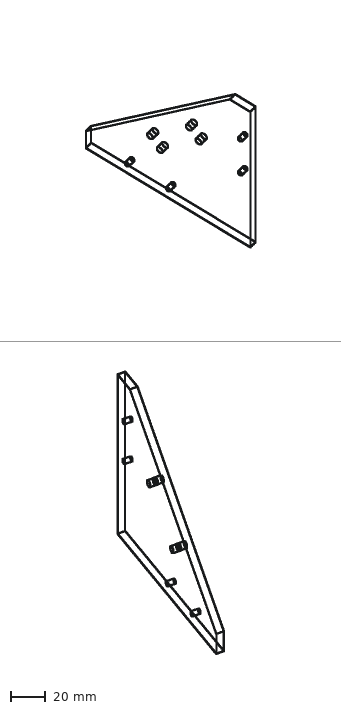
import cadquery as cq
import math

LEG = 120.0
THICKNESS = 5.0
END_WIDTH = 15.0

LEG_HOLE_DIAMETER = 3.1
LEG_HOLE_INSET = 7.5
LEG_HOLE_DISTANCES = (60.0, 90.0)

SLOPE_HOLE_DIAMETER = 4.25
SLOPE_HOLE_SPACING = 40.0
SLOPE_HOLE_DEPTHS = (12.0, 22.0)


def plate():
    """Outline in the XZ plane, extruded toward +Y."""
    outline = [
        (0, 0),
        (LEG, 0),
        (LEG, LEG),
        (LEG - END_WIDTH, LEG),
        (0, END_WIDTH),
    ]
    return cq.Workplane("XZ").polyline(outline).close().extrude(-THICKNESS)


def drill(body, centres, diameter):
    """Cut round through holes along Y at the given (X, Z) centres."""
    pins = cq.Workplane("XZ").pushPoints(centres).circle(diameter / 2).extrude(-THICKNESS)
    return body.cut(pins)


def leg_hole_centres():
    """Matching rows of holes beside the bottom and upright edges."""
    bottom = [(LEG - distance, LEG_HOLE_INSET) for distance in LEG_HOLE_DISTANCES]
    upright = [(LEG - LEG_HOLE_INSET, distance) for distance in LEG_HOLE_DISTANCES]
    return bottom + upright


def slope_hole_centres():
    """Rectangle of holes centred on the middle of the 45 degree sloping edge."""
    middle_x = (LEG - END_WIDTH) / 2
    middle_z = (LEG + END_WIDTH) / 2
    centres = []
    for depth in SLOPE_HOLE_DEPTHS:
        for along in (-SLOPE_HOLE_SPACING / 2, SLOPE_HOLE_SPACING / 2):
            x = middle_x + (along + depth) / math.sqrt(2)
            z = middle_z + (along - depth) / math.sqrt(2)
            centres.append((x, z))
    return centres


result = plate()
result = drill(result, leg_hole_centres(), LEG_HOLE_DIAMETER)
result = drill(result, slope_hole_centres(), SLOPE_HOLE_DIAMETER)